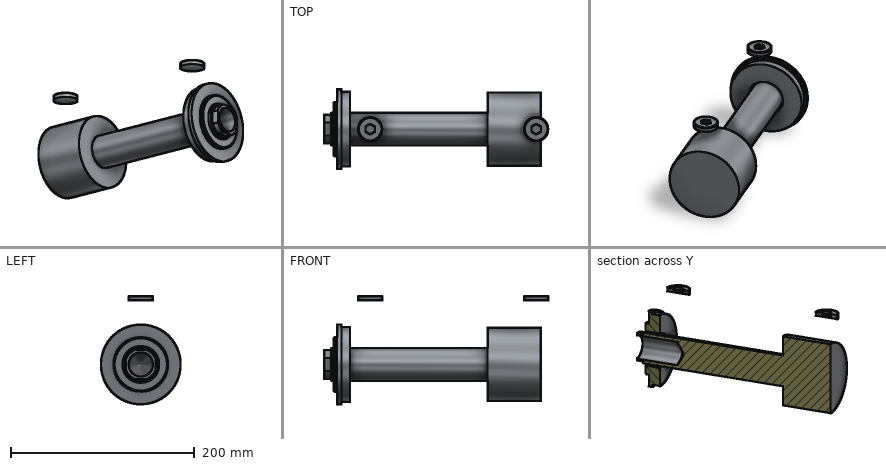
import cadquery as cq
import math

shaft_radius = 18.0
tip_radius = 17.3
tip_across_flats = 31.7
tip_length = 7.5
shoulder_chamfer = shaft_radius - tip_radius
head_radius = 40.0
head_start = 177.9
head_end = 236.0

bore_radius = 13.2
bore_depth = 48.8
drill_half_angle = 59.0

boss_radius = 29.8
boss_start = 10.2
boss_chamfer = 1.2
rim_radius = 43.55
rim_start = 14.2
rim_end = 18.8
spigot_radius = 41.0
spigot_end = 28.3
flange_bore_radius = 19.5
flange_bore_chamfer = 0.5

plug_radius = bore_radius
plug_thickness = 5.1
plug_top = 74.79
plug_chamfer = 0.7
socket_across_flats = 10.0
socket_depth = 3.0
first_plug_x = 50.0
overall_length = 244.0
last_plug_x = overall_length - plug_radius


def rod(start, end, radius):
    """Cylinder on the X axis from start to end."""
    return cq.Workplane("YZ", origin=(start, 0, 0)).circle(radius).extrude(end - start)


def make_shaft():
    tip = rod(0, tip_length, tip_radius).intersect(
        cq.Workplane("YZ").rect(tip_across_flats, tip_across_flats).extrude(tip_length)
    )
    bar = rod(tip_length, head_start, shaft_radius).faces("<X").chamfer(shoulder_chamfer)
    head = rod(head_start, head_end, head_radius)

    cone_length = bore_radius / math.tan(math.radians(drill_half_angle))
    bore = (
        cq.Workplane("XY")
        .polyline([(0, 0), (0, bore_radius), (bore_depth, bore_radius), (bore_depth + cone_length, 0)])
        .close()
        .revolve(360, (0, 0, 0), (1, 0, 0))
    )
    return tip.union(bar).union(head).cut(bore)


def make_flange():
    boss = rod(boss_start, rim_start, boss_radius).faces("<X").chamfer(boss_chamfer)
    rim = rod(rim_start, rim_end, rim_radius)
    spigot = rod(rim_end, spigot_end, spigot_radius)
    clearance_bore = rod(boss_start, spigot_end, flange_bore_radius)
    bored = boss.union(rim).union(spigot).cut(clearance_bore)
    return bored.faces("<X").edges(cq.selectors.RadiusNthSelector(0)).chamfer(flange_bore_chamfer)


def make_plug(x):
    disc = (
        cq.Workplane("XY", origin=(x, 0, plug_top - plug_thickness))
        .circle(plug_radius)
        .extrude(plug_thickness)
        .faces(">Z")
        .chamfer(plug_chamfer)
    )
    socket_across_corners = socket_across_flats / math.cos(math.pi / 6)
    socket = (
        cq.Workplane("XY", origin=(x, 0, plug_top))
        .transformed(rotate=(0, 0, 90))
        .polygon(6, socket_across_corners)
        .extrude(-socket_depth)
    )
    return disc.cut(socket)


shaft = make_shaft()
flange = make_flange()
plugs = [make_plug(x) for x in (first_plug_x, last_plug_x)]

result = cq.Compound.makeCompound([shaft.val(), flange.val(), *[plug.val() for plug in plugs]])